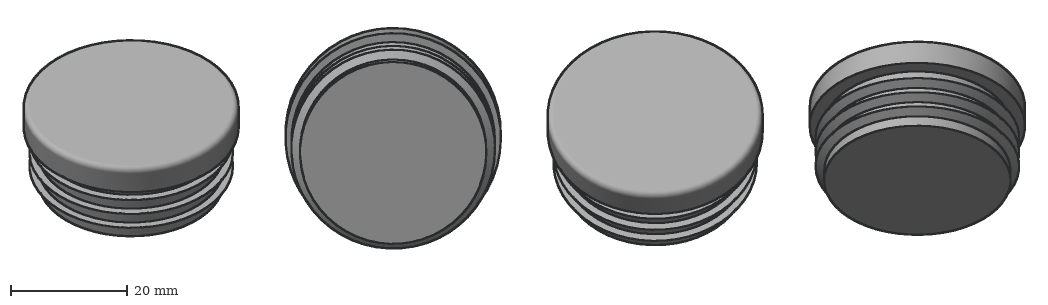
import cadquery as cq


head_diameter = 37.0
head_height = 5.0
head_edge_radius = 1.0

shank_diameter = 32.0
shank_length = 11.5

fin_diameter = 35.0
fin_height = 1.0
fin_pitch = 3.0
fin_count = 3
first_fin_depth = 2.5


def make_head():
    head = cq.Workplane("XY").circle(head_diameter / 2).extrude(head_height)
    return head.faces(">Z").edges().fillet(head_edge_radius)


def make_shank():
    return cq.Workplane("XY").circle(shank_diameter / 2).extrude(-shank_length)


def make_fin(top_z):
    """Conical fin, widest at its flat top, narrowing down to the shank."""
    bottom_z = top_z - fin_height
    profile = [
        (0, top_z),
        (fin_diameter / 2, top_z),
        (shank_diameter / 2, bottom_z),
        (0, bottom_z),
    ]
    return cq.Workplane("XZ").polyline(profile).close().revolve(360, (0, 0), (0, 1))


result = make_head().union(make_shank())
for index in range(fin_count):
    result = result.union(make_fin(-first_fin_depth - index * fin_pitch))